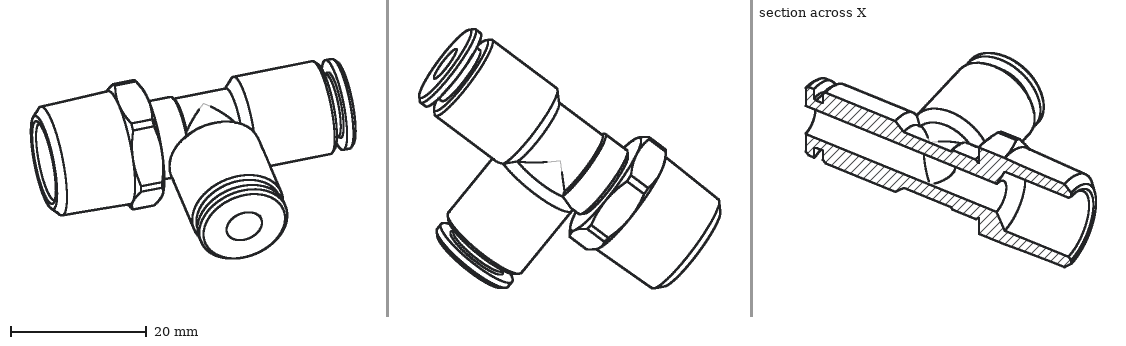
import cadquery as cq
import math

BOTTOM_Y = -24.45

PORT_END = 21.55
BRANCH_END = 21.5
COLLAR_RADIUS = 6.75
COLLAR_THICKNESS = 1.45
COLLAR_CHAMFER = 0.5
NECK_RADIUS = 4.7
NECK_FLARE_WIDTH = 0.25
NECK_FLARE_LENGTH = 0.35
SLEEVE_RADIUS = 7.0
SLEEVE_CHAMFER = 0.5
SLEEVE_END_GAP = 2.95
CORE_RADIUS = 5.5
CORE_LENGTH = 4.5
SLEEVE_START = CORE_LENGTH + SLEEVE_RADIUS - CORE_RADIUS

STUB_RADIUS = 5.9
STUB_TOP_Y = -3.65
STUB_TOP_CHAMFER = 0.28
STUB_BOTTOM_CHAMFER = 0.5

NUT_TOP_Y = -8.45
NUT_BOTTOM_Y = -12.95
NUT_ACROSS_FLATS = 17.0
NUT_CORNER_RADIUS = 9.5
NUT_CHAMFER_HEIGHT = 0.65

THREAD_TAPER = 1 / 16
THREAD_TOP_RADIUS = 8.5
THREAD_CHAMFER_HEIGHT = 1.15
THREAD_TIP_RADIUS = 7.0

PASSAGE_RADIUS = 2.7
BORE_RADIUS = 5.75
BORE_CHAMFER = 0.45
BORE_DEPTH = NUT_BOTTOM_Y - BOTTOM_Y
FUNNEL_ANGLE = 65.0


def revolve_about_y(profile):
    """Solid of revolution from (radius, y) points; both ends are closed on the Y axis."""
    bottom = (0, profile[0][1])
    top = (0, profile[-1][1])
    outline = cq.Workplane("XY").polyline([bottom, *profile, top]).close()
    return outline.revolve(360, (0, 0, 0), (0, 1, 0))


def port(end):
    """Core, sleeve, neck and release collar of one port, pointing along +Y."""
    collar_start = end - COLLAR_THICKNESS
    sleeve_end = end - SLEEVE_END_GAP
    return revolve_about_y([
        (CORE_RADIUS, 0),
        (CORE_RADIUS, CORE_LENGTH),
        (SLEEVE_RADIUS, SLEEVE_START),
        (SLEEVE_RADIUS, sleeve_end - SLEEVE_CHAMFER),
        (SLEEVE_RADIUS - SLEEVE_CHAMFER, sleeve_end),
        (NECK_RADIUS, sleeve_end),
        (NECK_RADIUS, collar_start - NECK_FLARE_LENGTH),
        (NECK_RADIUS + NECK_FLARE_WIDTH, collar_start),
        (COLLAR_RADIUS, collar_start),
        (COLLAR_RADIUS, end - COLLAR_CHAMFER),
        (COLLAR_RADIUS - COLLAR_CHAMFER, end),
    ])


def along_x(body):
    """Turn a body pointing along +Y so that it points along +X."""
    return body.rotate((0, 0, 0), (0, 0, 1), -90)


def stub():
    """Core below the crossing with the wider stub that sits on the nut."""
    return revolve_about_y([
        (STUB_RADIUS - STUB_BOTTOM_CHAMFER, NUT_TOP_Y),
        (STUB_RADIUS, NUT_TOP_Y + STUB_BOTTOM_CHAMFER),
        (STUB_RADIUS, STUB_TOP_Y - STUB_TOP_CHAMFER),
        (CORE_RADIUS, STUB_TOP_Y),
        (CORE_RADIUS, 0),
    ])


def nut():
    """Hexagon with flats facing +-Z, its corners turned round and chamfered at both faces."""
    face_radius = NUT_ACROSS_FLATS / 2
    hexagon = (
        cq.Workplane("XZ", origin=(0, NUT_TOP_Y, 0))
        .polygon(6, NUT_ACROSS_FLATS / math.cos(math.pi / 6))
        .extrude(NUT_TOP_Y - NUT_BOTTOM_Y)
    )
    turned_blank = revolve_about_y([
        (face_radius, NUT_BOTTOM_Y),
        (NUT_CORNER_RADIUS, NUT_BOTTOM_Y + NUT_CHAMFER_HEIGHT),
        (NUT_CORNER_RADIUS, NUT_TOP_Y - NUT_CHAMFER_HEIGHT),
        (face_radius, NUT_TOP_Y),
    ])
    return hexagon.intersect(turned_blank)


def thread_body():
    """Tapered thread envelope with a chamfered tip."""
    chamfer_y = BOTTOM_Y + THREAD_CHAMFER_HEIGHT
    chamfer_radius = THREAD_TOP_RADIUS - (NUT_BOTTOM_Y - chamfer_y) * THREAD_TAPER / 2
    return revolve_about_y([
        (THREAD_TIP_RADIUS, BOTTOM_Y),
        (chamfer_radius, chamfer_y),
        (THREAD_TOP_RADIUS, NUT_BOTTOM_Y),
    ])


def run_bore():
    """Wide threaded-end bore that funnels into the passage through the run."""
    funnel_start = BOTTOM_Y + BORE_DEPTH
    funnel_length = (BORE_RADIUS - PASSAGE_RADIUS) / math.tan(math.radians(FUNNEL_ANGLE))
    return revolve_about_y([
        (BORE_RADIUS + BORE_CHAMFER, BOTTOM_Y),
        (BORE_RADIUS, BOTTOM_Y + BORE_CHAMFER),
        (BORE_RADIUS, funnel_start),
        (PASSAGE_RADIUS, funnel_start + funnel_length),
        (PASSAGE_RADIUS, PORT_END),
    ])


def branch_bore():
    """Passage from the crossing out through the branch port."""
    return along_x(revolve_about_y([(PASSAGE_RADIUS, 0), (PASSAGE_RADIUS, BRANCH_END)]))


outer_body = (
    port(PORT_END)
    .union(along_x(port(BRANCH_END)))
    .union(stub())
    .union(nut())
    .union(thread_body())
)
result = outer_body.cut(run_bore()).cut(branch_bore())